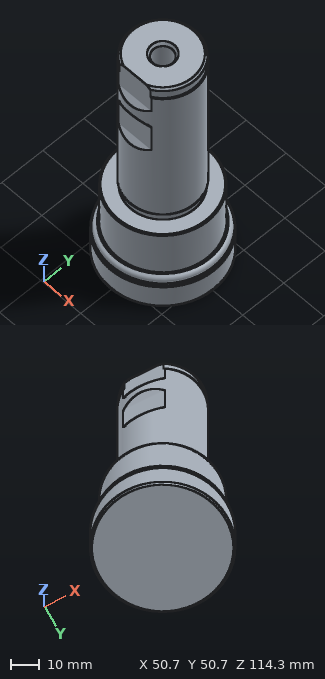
import cadquery as cq
import math

total_height = 114.3
flange_rim_top = 12.3
flange_top = 16.3
body_top = 38.1
undercut_top = 41.5
pilot_length = 5.0
pilot_bottom = total_height - pilot_length

flange_radius = 50.7 / 2
body_radius = 44.5 / 2
shaft_radius = 31.8 / 2
undercut_radius = 31.0 / 2
pilot_radius = 31.2 / 2

bottom_chamfer = 0.7
bottom_chamfer_height = 0.9
rim_chamfer = 0.3
rim_chamfer_height = 0.6
body_chamfer = 0.5
top_chamfer = 0.9
top_chamfer_height = 1.0
shaft_chamfer = 0.3

shoulder_radius = flange_radius - rim_chamfer
shoulder_band_top = 13.6
arc_start_radius = 24.8
arc_start_height = 14.3
arc_end_radius = 23.9
arc_end_height = 15.8
arc_bulge = 0.2
flange_top_radius = 23.0

flat_offset = 27.1 / 2
upper_flat_length = 12.8
lower_flat_length = 13.0
flat_end_angle = 45.0
lower_flat_top = total_height - 22.5
flat_corner_radius = 1.5 / 2
cutter_reach = 5.7

hole_radius = 9.0 / 2
hole_mouth_radius = 11.0 / 2
hole_depth = 25.1
countersink_angle = 60.0
drill_angle = 118.0


def turned_body():
    """Revolve the stepped outside profile about Z."""
    chord_r = arc_end_radius - arc_start_radius
    chord_z = arc_end_height - arc_start_height
    bulge_ratio = arc_bulge / math.hypot(chord_r, chord_z)
    arc_mid = (
        (arc_start_radius + arc_end_radius) / 2 + bulge_ratio * chord_z,
        (arc_start_height + arc_end_height) / 2 - bulge_ratio * chord_r,
    )
    profile = (
        cq.Workplane("XZ")
        .lineTo(flange_radius - bottom_chamfer, 0)
        .lineTo(flange_radius, bottom_chamfer_height)
        .lineTo(flange_radius, flange_rim_top - rim_chamfer_height)
        .lineTo(shoulder_radius, flange_rim_top)
        .lineTo(shoulder_radius, shoulder_band_top)
        .lineTo(arc_start_radius, arc_start_height)
        .threePointArc(arc_mid, (arc_end_radius, arc_end_height))
        .lineTo(flange_top_radius, flange_top)
        .lineTo(body_radius, flange_top)
        .lineTo(body_radius, body_top - body_chamfer)
        .lineTo(body_radius - body_chamfer, body_top)
        .lineTo(undercut_radius, body_top)
        .lineTo(undercut_radius, undercut_top - shaft_chamfer)
        .lineTo(shaft_radius, undercut_top)
        .lineTo(shaft_radius, pilot_bottom - shaft_chamfer)
        .lineTo(pilot_radius, pilot_bottom)
        .lineTo(pilot_radius, total_height - top_chamfer_height)
        .lineTo(pilot_radius - top_chamfer, total_height)
        .lineTo(0, total_height)
        .close()
    )
    return profile.revolve(360, (0, 0), (0, 1))


def flat_cutter(bottom, top, slope_top):
    """Cutter for one flat; its sloped ends widen outwards from the flat, with rounded corners."""
    spread = cutter_reach * math.tan(math.radians(flat_end_angle))
    outer_y = -flat_offset - cutter_reach
    top_spread = spread if slope_top else 0
    cutter = (
        cq.Workplane("YZ")
        .moveTo(-flat_offset, bottom)
        .lineTo(-flat_offset, top)
        .lineTo(outer_y, top + top_spread)
        .lineTo(outer_y, bottom - spread)
        .close()
        .extrude(shaft_radius, both=True)
    )
    flat_edges = cutter.faces(">Y").edges("|X")
    if not slope_top:
        flat_edges = flat_edges.edges("<Z")
    return flat_edges.fillet(flat_corner_radius)


def centre_hole():
    """Countersunk blind hole with a conical drill tip."""
    sink_depth = (hole_mouth_radius - hole_radius) / math.tan(math.radians(countersink_angle / 2))
    tip_depth = hole_radius / math.tan(math.radians(drill_angle / 2))
    hole_bottom = total_height - hole_depth
    profile = (
        cq.Workplane("XZ")
        .moveTo(0, total_height)
        .lineTo(hole_mouth_radius, total_height)
        .lineTo(hole_radius, total_height - sink_depth)
        .lineTo(hole_radius, hole_bottom)
        .lineTo(0, hole_bottom - tip_depth)
        .close()
    )
    return profile.revolve(360, (0, 0), (0, 1))


upper_flat = flat_cutter(total_height - upper_flat_length, total_height, slope_top=False)
lower_flat = flat_cutter(lower_flat_top - lower_flat_length, lower_flat_top, slope_top=True)

result = turned_body().cut(upper_flat).cut(lower_flat).cut(centre_hole())